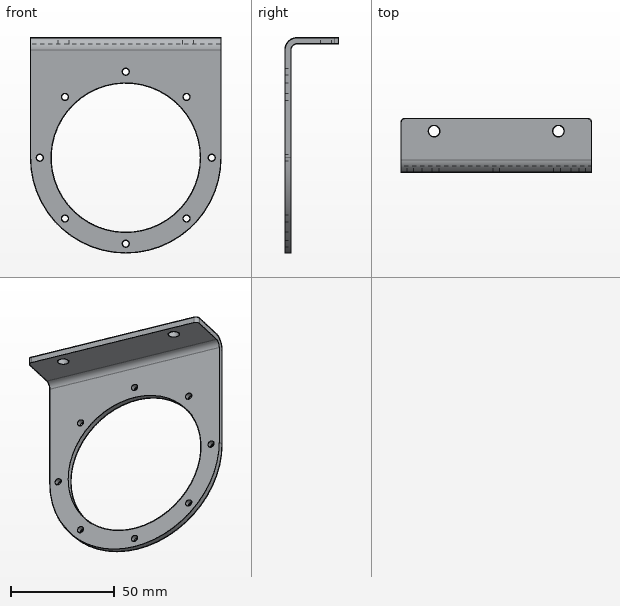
import cadquery as cq

width = 92.0
depth = 26.0
height = 104.0
sheet = 3.0
bend_inner_radius = 3.0
bend_outer_radius = bend_inner_radius + sheet

end_radius = width / 2
opening_diameter = 72.0
bolt_circle_diameter = 83.0
bolt_hole_diameter = 3.2
bolt_hole_count = 8

mount_hole_diameter = 5.4
mount_hole_spacing = 60.0
mount_hole_edge_distance = 6.1
corner_radius = 2.0

top_z = height - end_radius
front_y = 0.0
back_y = front_y + depth


def bent_sheet():
    """L-shaped side profile with a rounded bend, extruded across the width."""
    profile = (
        cq.Workplane("YZ")
        .moveTo(front_y, -end_radius)
        .lineTo(front_y, top_z - bend_outer_radius)
        .radiusArc((front_y + bend_outer_radius, top_z), bend_outer_radius)
        .lineTo(back_y, top_z)
        .lineTo(back_y, top_z - sheet)
        .lineTo(front_y + bend_outer_radius, top_z - sheet)
        .radiusArc((front_y + sheet, top_z - bend_outer_radius), -bend_inner_radius)
        .lineTo(front_y + sheet, -end_radius)
        .close()
    )
    return profile.extrude(width / 2, both=True)


def front_outline():
    """Straight-sided outline with a semicircular lower end, through the full depth."""
    return (
        cq.Workplane("XZ", origin=(0, back_y, 0))
        .moveTo(-end_radius, top_z)
        .lineTo(-end_radius, 0)
        .threePointArc((0, -end_radius), (end_radius, 0))
        .lineTo(end_radius, top_z)
        .close()
        .extrude(depth)
    )


def plate_cutters():
    """Large opening and its ring of bolt holes, through the upright plate."""
    plane = cq.Workplane("XZ", origin=(0, front_y + sheet, 0))
    opening = plane.circle(opening_diameter / 2).extrude(sheet)
    bolt_holes = (
        plane.polarArray(bolt_circle_diameter / 2, 0, 360, bolt_hole_count)
        .circle(bolt_hole_diameter / 2)
        .extrude(sheet)
    )
    return opening.union(bolt_holes)


def mount_holes():
    """Pair of holes through the flange."""
    hole_y = back_y - mount_hole_edge_distance
    return (
        cq.Workplane("XY", origin=(0, hole_y, top_z - sheet))
        .rarray(mount_hole_spacing, 1, 2, 1)
        .circle(mount_hole_diameter / 2)
        .extrude(sheet)
    )


bracket = bent_sheet().intersect(front_outline())
bracket = bracket.edges("|Z and >Y").fillet(corner_radius)
result = bracket.cut(plate_cutters()).cut(mount_holes())